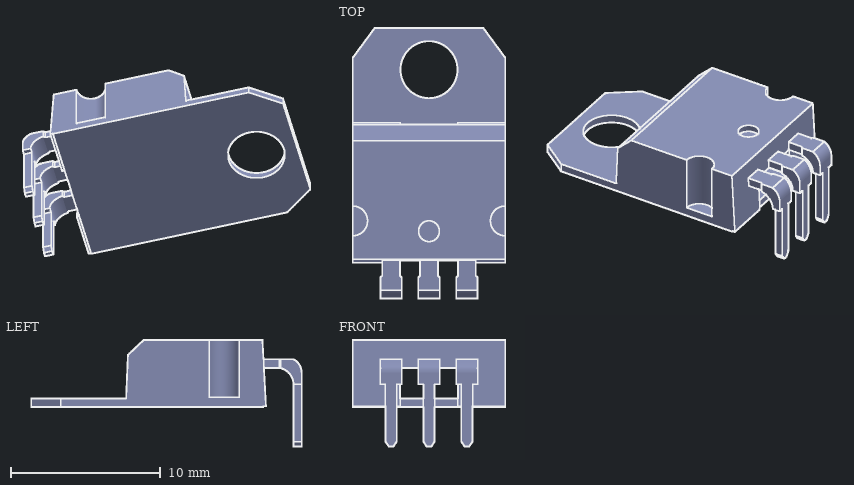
import cadquery as cq


WIDTH = 10.2
TAB_END_Y = 18.09
TAB_FRONT_Y = 2.57
TAB_THICKNESS = 0.6
CORNER_X = 1.47
CORNER_Y = 1.99
MOUNT_HOLE_DIAMETER = 3.8
MOUNT_HOLE_Y = 15.3

BODY_BOTTOM_Z = 0.05
BODY_TOP_Z = 4.5
FRONT_BASE_Y = 2.39
FRONT_TOP_Y = 2.62
BACK_BASE_Y = 11.78
BACK_KNEE_Y = 11.63
BACK_KNEE_Z = 3.5
BACK_TOP_Y = 10.56
NOTCH_DIAMETER = 1.99
NOTCH_Y = 5.2
NOTCH_FLOOR_Z = 0.65
MARK_DIAMETER = 1.4
MARK_Y = 4.5
MARK_DEPTH = 0.49
TUNNEL_WIDTH = 3.87

LEAD_PITCH = 2.53
LEAD_TOP_Z = 3.22
LEAD_THICKNESS = 0.62
LEAD_UNDERSIDE_Z = LEAD_TOP_Z - LEAD_THICKNESS
PIN_THICKNESS = 0.56
PIN_BOTTOM_Z = -2.65
NECK_WIDTH = 1.21
SHOULDER_WIDTH = 1.45
PIN_WIDTH = 0.76
SHOULDER_BOTTOM_Z = 1.52
SHOULDER_BACK_Y = 1.41
SHOULDER_TAPER = 0.1
OUTER_BEND_RADIUS = 1.05
OUTER_BEND_BOTTOM_Z = 2.26
INNER_BEND_RADIUS = 1.12
TIP_HEIGHT = 0.35
TIP_WIDTH = 0.3
LEAD_EMBED = 0.55
LEAD_END_Y = FRONT_TOP_Y + LEAD_EMBED


def make_tab():
    """Flat tab with two cut corners and a mounting hole."""
    half = WIDTH / 2
    outline = [
        (-half, TAB_FRONT_Y),
        (half, TAB_FRONT_Y),
        (half, TAB_END_Y - CORNER_Y),
        (half - CORNER_X, TAB_END_Y),
        (-half + CORNER_X, TAB_END_Y),
        (-half, TAB_END_Y - CORNER_Y),
    ]
    plate = cq.Workplane("XY").polyline(outline).close().extrude(TAB_THICKNESS)
    hole = (
        cq.Workplane("XY")
        .center(0, MOUNT_HOLE_Y)
        .circle(MOUNT_HOLE_DIAMETER / 2)
        .extrude(TAB_THICKNESS)
    )
    return plate.cut(hole)


def make_body():
    """Sloped body with side notches, a round top recess and a tunnel along Y."""
    profile = [
        (FRONT_BASE_Y, BODY_BOTTOM_Z),
        (BACK_BASE_Y, BODY_BOTTOM_Z),
        (BACK_KNEE_Y, BACK_KNEE_Z),
        (BACK_TOP_Y, BODY_TOP_Z),
        (FRONT_TOP_Y, BODY_TOP_Z),
    ]
    body = cq.Workplane("YZ").polyline(profile).close().extrude(WIDTH / 2, both=True)
    notches = (
        cq.Workplane("XY", origin=(0, 0, NOTCH_FLOOR_Z))
        .pushPoints([(-WIDTH / 2, NOTCH_Y), (WIDTH / 2, NOTCH_Y)])
        .circle(NOTCH_DIAMETER / 2)
        .extrude(BODY_TOP_Z - NOTCH_FLOOR_Z)
    )
    mark = (
        cq.Workplane("XY", origin=(0, MARK_Y, BODY_TOP_Z))
        .circle(MARK_DIAMETER / 2)
        .extrude(-MARK_DEPTH)
    )
    tunnel = cq.Workplane("XY").box(
        TUNNEL_WIDTH, TAB_END_Y, LEAD_UNDERSIDE_Z, centered=(True, False, False)
    )
    return body.cut(notches).cut(mark).cut(tunnel)


def make_lead():
    """Bent lead: side profile trimmed to the widths of its neck, shoulder and pin."""
    bent_strip = (
        cq.Workplane("YZ")
        .moveTo(LEAD_END_Y, LEAD_TOP_Z)
        .lineTo(PIN_THICKNESS, LEAD_TOP_Z)
        .radiusArc((0, OUTER_BEND_BOTTOM_Z), -OUTER_BEND_RADIUS)
        .lineTo(0, PIN_BOTTOM_Z)
        .lineTo(PIN_THICKNESS, PIN_BOTTOM_Z)
        .lineTo(PIN_THICKNESS, SHOULDER_BOTTOM_Z)
        .radiusArc((SHOULDER_BACK_Y, LEAD_UNDERSIDE_Z), INNER_BEND_RADIUS)
        .lineTo(LEAD_END_Y, LEAD_UNDERSIDE_Z)
        .close()
        .extrude(SHOULDER_WIDTH / 2, both=True)
    )
    neck_start_y = SHOULDER_BACK_Y + SHOULDER_TAPER
    half_outline = [
        (SHOULDER_WIDTH / 2, 0),
        (SHOULDER_WIDTH / 2, SHOULDER_BACK_Y),
        (NECK_WIDTH / 2, neck_start_y),
        (NECK_WIDTH / 2, LEAD_END_Y),
    ]
    mirrored = [(-x, y) for x, y in reversed(half_outline)]
    upper_part = (
        cq.Workplane("XY", origin=(0, 0, SHOULDER_BOTTOM_Z))
        .polyline(half_outline + mirrored)
        .close()
        .extrude(LEAD_TOP_Z - SHOULDER_BOTTOM_Z)
    )
    tip_top_z = PIN_BOTTOM_Z + TIP_HEIGHT
    pin_outline = [
        (-PIN_WIDTH / 2, SHOULDER_BOTTOM_Z),
        (-PIN_WIDTH / 2, tip_top_z),
        (-TIP_WIDTH / 2, PIN_BOTTOM_Z),
        (TIP_WIDTH / 2, PIN_BOTTOM_Z),
        (PIN_WIDTH / 2, tip_top_z),
        (PIN_WIDTH / 2, SHOULDER_BOTTOM_Z),
    ]
    pin = cq.Workplane("XZ").polyline(pin_outline).close().extrude(-PIN_THICKNESS)
    return bent_strip.intersect(upper_part).union(pin)


result = make_tab().union(make_body())
lead = make_lead()
for position in (-1, 0, 1):
    result = result.union(lead.translate((position * LEAD_PITCH, 0, 0)))